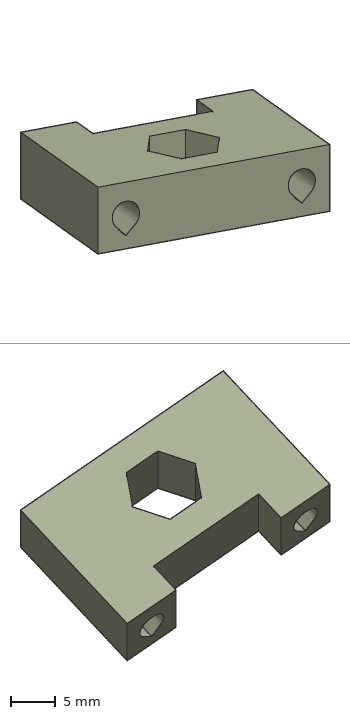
import cadquery as cq
import math

length_x = 19.0
width_y = 29.0
height_z = 8.0

notch_depth = 4.0
lug_width = 7.0
notch_width = width_y - 2 * lug_width

hexagon_across_corners = 9.0
hexagon_from_front = 11.5

teardrop_diameter = 3.4
teardrop_offset = (width_y - lug_width) / 2


def teardrop_hole(y_center):
    """Cutter through the full X length: an arc closed by two tangent 45-degree flanks."""
    radius = teardrop_diameter / 2
    tangent = radius * math.sqrt(0.5)
    tip_drop = radius * math.sqrt(2)
    return (
        cq.Workplane("YZ", origin=(-length_x / 2, y_center, 0))
        .moveTo(0, -tip_drop)
        .lineTo(tangent, -tangent)
        .threePointArc((0, radius), (-tangent, -tangent))
        .close()
        .extrude(length_x)
    )


block = cq.Workplane("XY").box(length_x, width_y, height_z)

notch = cq.Workplane("XY").box(notch_depth, notch_width, height_z).translate(
    ((notch_depth - length_x) / 2, 0, 0)
)

hexagon_hole = (
    cq.Workplane("XY", origin=(hexagon_from_front - length_x / 2, 0, -height_z / 2))
    .transformed(rotate=(0, 0, 90))
    .polygon(6, hexagon_across_corners)
    .extrude(height_z)
)

result = block.cut(notch).cut(hexagon_hole)
for side in (-1, 1):
    result = result.cut(teardrop_hole(side * teardrop_offset))